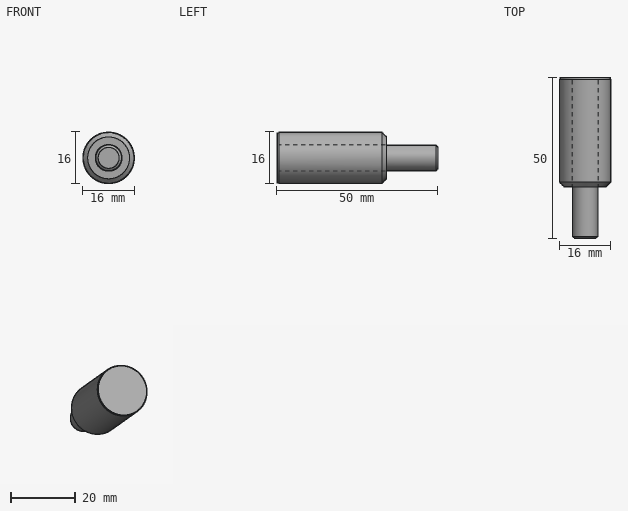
import cadquery as cq

total_length = 50.0
rear_y = total_length / 2
tip_y = -total_length / 2

sleeve_radius = 8.0
sleeve_chamfer = 1.5
pin_exposed_length = 16.0
sleeve_front_y = tip_y + pin_exposed_length

head_radius = 7.8
head_thickness = 0.6
pin_radius = 4.0
tip_chamfer_radial = 0.75
tip_chamfer_length = 0.65
head_front_y = rear_y - head_thickness

bore_clearance = 0.15
bore_radius = pin_radius + bore_clearance


def revolve_about_y(profile_points):
    """Revolve a closed (radius, y) outline fully around the Y axis."""
    outline = cq.Workplane("XY").polyline(profile_points).close()
    return outline.revolve(360, (0, 0, 0), (0, 1, 0))


def make_sleeve():
    """Bored cylinder with a chamfered front rim."""
    return revolve_about_y([
        (bore_radius, sleeve_front_y),
        (sleeve_radius - sleeve_chamfer, sleeve_front_y),
        (sleeve_radius, sleeve_front_y + sleeve_chamfer),
        (sleeve_radius, head_front_y),
        (bore_radius, head_front_y),
    ])


def make_headed_pin():
    """Pin through the bore, with a bevelled tip and a thin head against the sleeve's rear face."""
    return revolve_about_y([
        (0, tip_y),
        (pin_radius - tip_chamfer_radial, tip_y),
        (pin_radius, tip_y + tip_chamfer_length),
        (pin_radius, head_front_y),
        (head_radius, head_front_y),
        (head_radius, rear_y),
        (0, rear_y),
    ])


sleeve = make_sleeve()
headed_pin = make_headed_pin()
result = cq.Compound.makeCompound([sleeve.val(), headed_pin.val()])